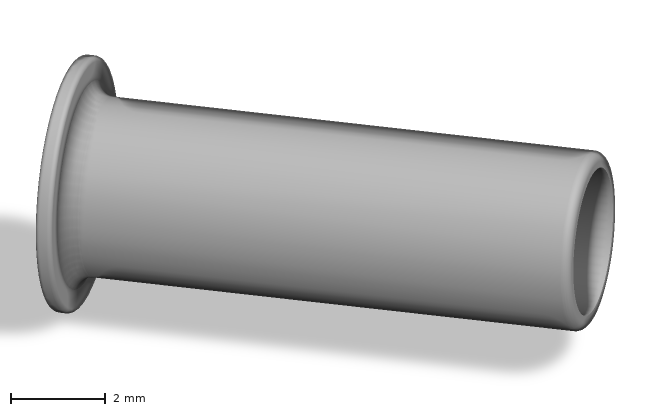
import cadquery as cq
import math

length = 11.5
flange_diameter = 5.5
tube_diameter = 3.85
wall = 0.35
flange_thickness = 0.36
flare_radius = 0.75
flange_edge_radius = 0.1
end_radius = 0.2

flange_radius = flange_diameter / 2
tube_radius = tube_diameter / 2
bore_radius = tube_radius - wall
neck_radius = flare_radius - wall


def arc_middle(center_x, center_r, radius, side_x, side_r):
    """Point at 45 degrees on an arc, on the given (+1 or -1) sides of its center."""
    offset = radius * math.sqrt(0.5)
    return (center_x + side_x * offset, center_r + side_r * offset)


flare_center_r = bore_radius + flare_radius
neck_start_r = flare_center_r - math.sqrt(neck_radius**2 - (flare_radius - flange_thickness) ** 2)
rim_r = flange_radius - flange_edge_radius
back_rim_x = flange_thickness - flange_edge_radius
end_x = length - end_radius
end_r = tube_radius - end_radius

section = (
    cq.Workplane("XY")
    .moveTo(0, flare_center_r)
    .lineTo(0, rim_r)
    .threePointArc(
        arc_middle(flange_edge_radius, rim_r, flange_edge_radius, -1, 1),
        (flange_edge_radius, flange_radius),
    )
    .lineTo(back_rim_x, flange_radius)
    .threePointArc(
        arc_middle(back_rim_x, rim_r, flange_edge_radius, 1, 1),
        (flange_thickness, rim_r),
    )
    .lineTo(flange_thickness, neck_start_r)
    .threePointArc(
        arc_middle(flare_radius, flare_center_r, neck_radius, -1, -1),
        (flare_radius, tube_radius),
    )
    .lineTo(end_x, tube_radius)
    .threePointArc(arc_middle(end_x, end_r, end_radius, 1, 1), (length, end_r))
    .lineTo(length, bore_radius)
    .lineTo(flare_radius, bore_radius)
    .threePointArc(
        arc_middle(flare_radius, flare_center_r, flare_radius, -1, -1),
        (0, flare_center_r),
    )
    .close()
)

result = section.revolve(360, (0, 0, 0), (1, 0, 0))